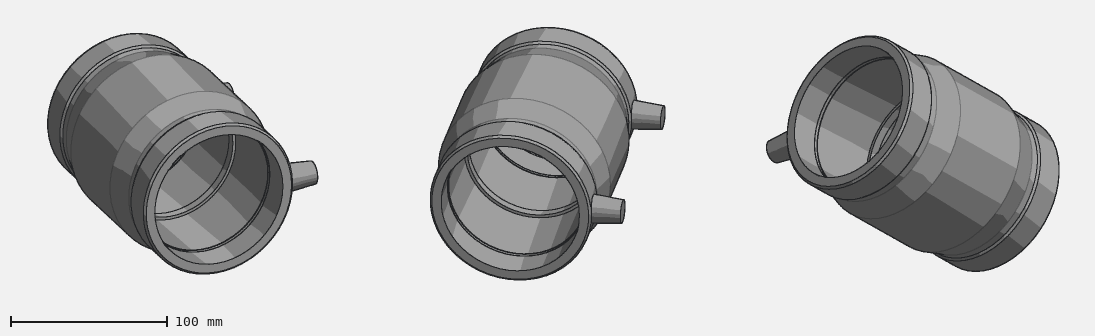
import cadquery as cq

length = 148.0
body_diameter = 112.0
collar_diameter = 105.0
neck_diameter = 102.1

chamfer = 1.5
collar_end = 20.0
neck_start = collar_end + chamfer
neck_end = 26.6
body_start = 44.4

socket_diameter = 90.0
groove_diameter = 90.3
inner_socket_diameter = 89.5
stop_diameter = 85.5
groove_start = 20.0
groove_width = 2.5
socket_depth = 71.0

terminal_offset = (chamfer + collar_end) / 2
overall_width = 127.0
terminal_tip_y = overall_width - body_diameter / 2
terminal_tip_diameter = 15.2
terminal_base_y = collar_diameter / 2
terminal_base_diameter = 18.5
terminal_root_y = 48.8


def revolve_mirrored(left_half):
    """Revolve (x, radius) points, mirrored about mid-length, around the X axis."""
    right_half = [(length - x, radius) for x, radius in reversed(left_half)]
    outline = [(0, 0)] + left_half + right_half + [(length, 0)]
    return cq.Workplane("XY").polyline(outline).close().revolve(360, (0, 0, 0), (1, 0, 0))


def make_sleeve():
    """Solid sleeve: chamfered collars, necks and conical shoulders up to the body."""
    return revolve_mirrored([
        (0, neck_diameter / 2),
        (chamfer, collar_diameter / 2),
        (collar_end, collar_diameter / 2),
        (neck_start, neck_diameter / 2),
        (neck_end, neck_diameter / 2),
        (body_start, body_diameter / 2),
    ])


def make_bore():
    """Through opening: grooved sockets meeting at the narrower stop ring."""
    groove_end = groove_start + groove_width
    return revolve_mirrored([
        (0, socket_diameter / 2),
        (groove_start, socket_diameter / 2),
        (groove_start, groove_diameter / 2),
        (groove_end, groove_diameter / 2),
        (groove_end, inner_socket_diameter / 2),
        (socket_depth, inner_socket_diameter / 2),
        (socket_depth, stop_diameter / 2),
    ])


def make_terminal(x):
    """Cone frustum on a Y axis, extended inward along its own taper."""
    slope = (terminal_base_diameter - terminal_tip_diameter) / 2 / (terminal_tip_y - terminal_base_y)
    root_radius = terminal_tip_diameter / 2 + slope * (terminal_tip_y - terminal_root_y)
    return cq.Workplane(
        cq.Solid.makeCone(
            root_radius,
            terminal_tip_diameter / 2,
            terminal_tip_y - terminal_root_y,
            pnt=cq.Vector(x, terminal_root_y, 0),
            dir=cq.Vector(0, 1, 0),
        )
    )


result = make_sleeve()
for terminal_x in (terminal_offset, length - terminal_offset):
    result = result.union(make_terminal(terminal_x))
result = result.cut(make_bore())